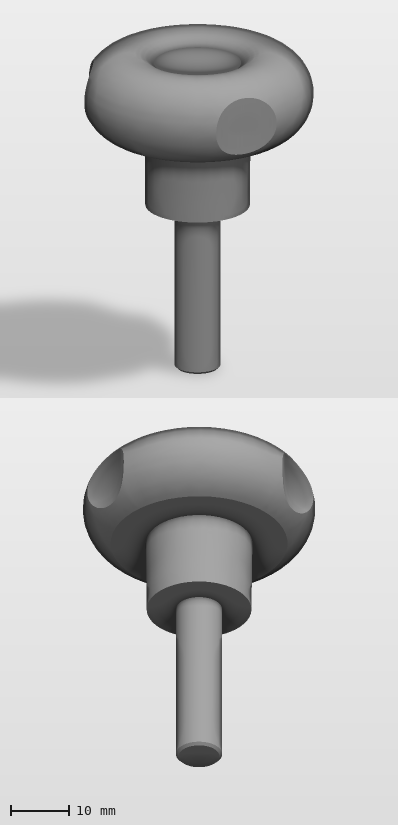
import cadquery as cq
import math

total_height = 57.8
head_radius = 20.0

stud_radius = 8.0 / 2
stud_length = 29.9
stud_chamfer = 0.45

hub_bottom_radius = 9.0
hub_top_radius = 9.2

tube_radius = 7.5
head_height = 14.5
dish_floor_radius = 7.5

notch_count = 3
notch_radius = 15.0
notch_floor_radius = 18.0
first_notch_angle = 90.0

ring_radius = head_radius - tube_radius
ring_z = total_height - tube_radius
head_bottom_z = total_height - head_height
underside_radius = ring_radius + math.sqrt(tube_radius**2 - (ring_z - head_bottom_z) ** 2)
dish_floor_z = ring_z + math.sqrt(tube_radius**2 - (ring_radius - dish_floor_radius) ** 2)


def make_body():
    """Stud, hub and head as one turned profile in the XZ plane."""
    profile = (
        cq.Workplane("XZ")
        .lineTo(stud_radius - stud_chamfer, 0)
        .lineTo(stud_radius, stud_chamfer)
        .lineTo(stud_radius, stud_length)
        .lineTo(hub_bottom_radius, stud_length)
        .lineTo(hub_top_radius, head_bottom_z)
        .lineTo(underside_radius, head_bottom_z)
        .threePointArc((ring_radius, total_height), (dish_floor_radius, dish_floor_z))
        .lineTo(0, dish_floor_z)
        .close()
    )
    return profile.revolve(360, (0, 0, 0), (0, 1, 0))


def make_notch_cutters():
    """Upright cylinders that scoop the finger notches out of the rim."""
    return (
        cq.Workplane("XY", origin=(0, 0, head_bottom_z))
        .polarArray(notch_floor_radius + notch_radius, first_notch_angle, 360, notch_count)
        .circle(notch_radius)
        .extrude(head_height)
    )


result = make_body().cut(make_notch_cutters())